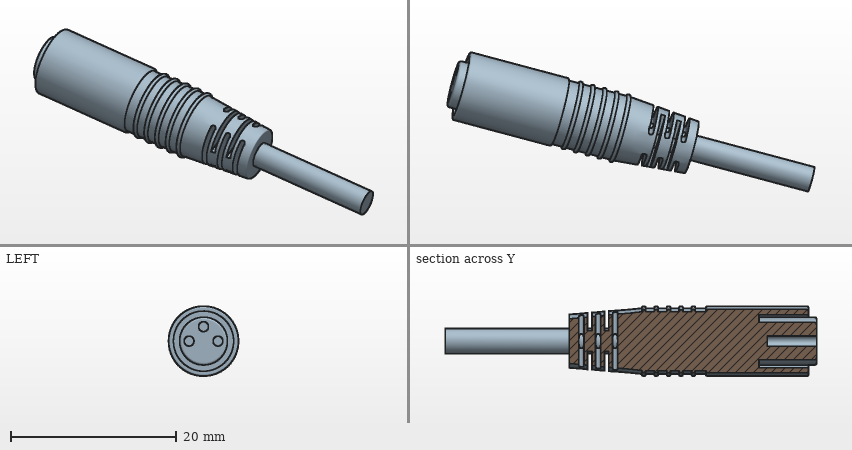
import cadquery as cq
import math

total_length = 45.0
sleeve_start = 1.0
sleeve_end = 13.45
boot_end = 30.0

sleeve_radius = 4.25
sleeve_bore_radius = 3.65
nose_radius = 2.9
grip_radius = 4.0
boot_end_radius = 3.25
cable_radius = 1.55

nose_fillet = 0.3
sleeve_fillet = sleeve_radius - grip_radius
boot_end_fillet = 0.15

gap_depth = 6.0

socket_radius = 0.6
socket_offset = 1.75
socket_depth = 6.0
socket_centers = [(0, socket_offset), (socket_offset, 0), (-socket_offset, 0)]

ridge_count = 5
first_ridge = 14.95
ridge_pitch = 1.5
ridge_radius = sleeve_radius - grip_radius

taper_start = first_ridge + (ridge_count - 1) * ridge_pitch + ridge_radius

slot_count = 5
first_slot = 24.43
slot_pitch = 1.02
side_slot_width = 0.6
top_slot_width = 0.5
slot_floor = 1.28
slot_reach = sleeve_radius


def cylinder(start, end, radius):
    return cq.Workplane("YZ", origin=(start, 0, 0)).circle(radius).extrude(end - start)


def make_sleeve():
    sleeve = cylinder(sleeve_start, sleeve_end, sleeve_radius).edges().fillet(sleeve_fillet)
    return sleeve.cut(cylinder(sleeve_start, sleeve_start + gap_depth, sleeve_bore_radius))


def make_nose():
    return cylinder(0, sleeve_end, nose_radius).faces("<X").edges().fillet(nose_fillet)


def make_grip():
    grip = cylinder(sleeve_end - sleeve_fillet, taper_start, grip_radius)
    arc_step = ridge_radius * math.sqrt(0.5)
    for i in range(ridge_count):
        center = first_ridge + i * ridge_pitch
        ridge = (
            cq.Workplane("XY")
            .moveTo(center - ridge_radius, 0)
            .lineTo(center - ridge_radius, grip_radius)
            .threePointArc((center - arc_step, grip_radius + arc_step), (center, sleeve_radius))
            .threePointArc((center + arc_step, grip_radius + arc_step), (center + ridge_radius, grip_radius))
            .lineTo(center + ridge_radius, 0)
            .close()
            .revolve(360, (0, 0, 0), (1, 0, 0))
        )
        grip = grip.union(ridge)
    return grip


def make_slot_pair(center, width, round_floor):
    """Two slots open to +Y and -Y, leaving a web between them."""
    half_width = width / 2
    wall_end = slot_floor + half_width if round_floor else slot_floor
    profile = (
        cq.Workplane("XY", origin=(center, 0, 0))
        .moveTo(-half_width, slot_reach)
        .lineTo(-half_width, wall_end)
    )
    if round_floor:
        profile = profile.threePointArc((0, slot_floor), (half_width, wall_end))
    else:
        profile = profile.lineTo(half_width, wall_end)
    slot = profile.lineTo(half_width, slot_reach).close().extrude(slot_reach, both=True)
    return slot.union(slot.mirror("XZ"))


def make_boot():
    boot = (
        cq.Workplane("XY")
        .moveTo(taper_start, 0)
        .lineTo(taper_start, grip_radius)
        .lineTo(boot_end, boot_end_radius)
        .lineTo(boot_end, 0)
        .close()
        .revolve(360, (0, 0, 0), (1, 0, 0))
        .faces(">X")
        .edges()
        .fillet(boot_end_fillet)
    )
    for i in range(slot_count):
        center = first_slot + i * slot_pitch
        if i % 2 == 0:
            slots = make_slot_pair(center, side_slot_width, round_floor=True)
        else:
            slots = make_slot_pair(center, top_slot_width, round_floor=False).rotate((0, 0, 0), (1, 0, 0), 90)
        boot = boot.cut(slots)
    return boot


def make_cable():
    return cylinder(taper_start, total_length, cable_radius)


def make_sockets():
    return cq.Workplane("YZ").pushPoints(socket_centers).circle(socket_radius).extrude(socket_depth)


body = make_sleeve().union(make_nose()).union(make_grip()).union(make_boot()).union(make_cable())
result = body.cut(make_sockets())